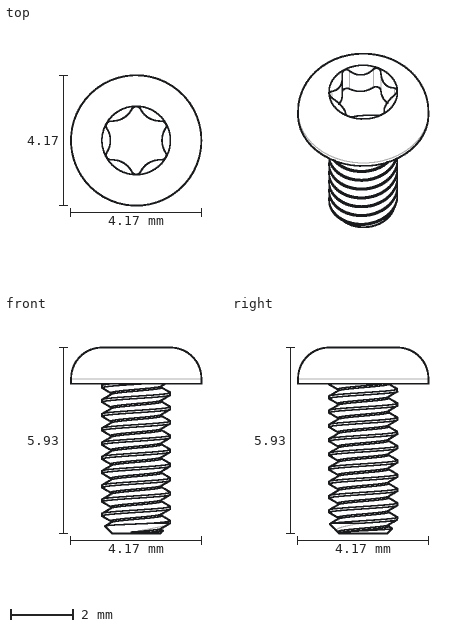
import cadquery as cq
import math

INCH = 25.4
overall_length = 5.931

head_radius = 0.164 * INCH / 2
head_height = 1.164
head_band_height = 0.17

shank_length = overall_length - head_height
thread_radius = 0.086 * INCH / 2
thread_pitch = INCH / 56
thread_depth = 17 / 24 * math.sqrt(3) / 2 * thread_pitch
flank_angle = math.radians(30)
root_width = thread_pitch / 8
end_radius = 0.77
groove_overrun = 0.03
thread_phase = 247

rim_radius = thread_radius
lobe_count = 6
lobe_radius = 1.08
scallop_inner_radius = 0.822
scallop_radius = 0.70
countersink_slope = math.radians(30)
recess_depth = 0.975
floor_dish_depth = 0.56
floor_centre_slope = math.radians(32)
floor_shoulder = (0.82, 0.025)


def head():
    """Button head: short cylindrical band under a rounded dome that ends at the recess rim."""
    rise = head_height - head_band_height
    run = head_radius - rim_radius
    dome_radius = (rise ** 2 + run ** 2) / (2 * run)
    half_angle = math.atan2(run, rise)
    dome_middle = (
        head_radius - dome_radius * (1 - math.cos(half_angle)),
        head_band_height + dome_radius * math.sin(half_angle),
    )
    return (
        cq.Workplane("XZ")
        .lineTo(head_radius, 0)
        .lineTo(head_radius, head_band_height)
        .threePointArc(dome_middle, (rim_radius, head_height))
        .lineTo(0, head_height)
        .close()
        .revolve(360, (0, 0, 0), (0, 1, 0))
    )


def thread_groove():
    """Solid helical groove of trapezoidal section that runs past both ends and outside of the shank."""
    root_radius = thread_radius - thread_depth
    mouth_radius = thread_radius + groove_overrun
    root_half = root_width / 2
    mouth_half = root_half + (mouth_radius - root_radius) * math.tan(flank_angle)
    section = [
        (root_radius, -root_half),
        (mouth_radius, -mouth_half),
        (mouth_radius, mouth_half),
        (root_radius, root_half),
    ]
    start = -shank_length - thread_pitch
    length = shank_length + 2 * thread_pitch

    helices = [
        cq.Wire.makeHelix(thread_pitch, length, radius, cq.Vector(0, 0, start + height))
        for radius, height in section
    ]
    faces = [cq.Face.makeRuledSurface(helices[i - 1], helices[i]) for i in range(len(helices))]
    for corners in (
        [helix.startPoint() for helix in helices],
        [helix.endPoint() for helix in helices],
    ):
        faces.append(cq.Face.makeFromWires(cq.Wire.makePolygon(corners, close=True)))
    return cq.Workplane(cq.Solid.makeSolid(cq.Shell.makeShell(faces)))


def threaded_shank():
    """Cylinder at the crest radius with a 45 degree chamfer at the free end, cut by the thread groove."""
    blank = (
        cq.Workplane("XY")
        .circle(thread_radius)
        .extrude(-shank_length)
        .faces("<Z")
        .chamfer(thread_radius - end_radius)
    )
    return blank.cut(thread_groove()).rotate((0, 0, 0), (0, 0, 1), thread_phase)


def polar(radius, angle):
    """Cartesian point at the given radius and angle."""
    return (radius * math.cos(angle), radius * math.sin(angle))


def lobe_outline():
    """Closed six-lobe outline of tangent arcs, lobe tips at 30 degrees and every 60 degrees on."""
    half_step = math.pi / lobe_count
    scallop_centre = scallop_inner_radius + scallop_radius
    reach = scallop_radius + lobe_radius
    tip_centre = (reach ** 2 - scallop_centre ** 2) / (2 * (reach - scallop_centre * math.cos(half_step)))
    tip_radius = lobe_radius - tip_centre
    to_scallop = math.atan2(
        scallop_centre * math.sin(half_step),
        scallop_centre * math.cos(half_step) - tip_centre,
    )
    along = tip_centre + tip_radius * math.cos(to_scallop)
    across = tip_radius * math.sin(to_scallop)
    tangent_radius = math.hypot(along, across)
    tangent_angle = math.atan2(across, along)

    outline = cq.Workplane("XY").moveTo(*polar(tangent_radius, half_step - tangent_angle))
    for lobe in range(lobe_count):
        axis = half_step * (2 * lobe + 1)
        next_axis = axis + 2 * half_step
        outline = outline.threePointArc(
            polar(lobe_radius, axis), polar(tangent_radius, axis + tangent_angle)
        ).threePointArc(
            polar(scallop_inner_radius, axis + half_step),
            polar(tangent_radius, next_axis - tangent_angle),
        )
    return outline.close()


def recess():
    """Six-lobe socket with a smoothly dished floor and a conical countersink at its mouth."""
    floor_edge = head_height - recess_depth
    shoulder_radius, shoulder_drop = floor_shoulder
    envelope = (
        cq.Workplane("XZ")
        .moveTo(0, floor_edge - floor_dish_depth)
        .spline(
            [(shoulder_radius, floor_edge - shoulder_drop), (rim_radius, floor_edge)],
            tangents=[(math.cos(floor_centre_slope), math.sin(floor_centre_slope)), (1, 0)],
            includeCurrent=True,
        )
        .lineTo(rim_radius, head_height)
        .lineTo(0, head_height)
        .close()
        .revolve(360, (0, 0, 0), (0, 1, 0))
    )
    socket = lobe_outline().extrude(head_height + shank_length).translate((0, 0, -shank_length))
    countersink = (
        cq.Workplane("XZ")
        .moveTo(0, head_height)
        .lineTo(rim_radius, head_height)
        .lineTo(0, head_height - rim_radius * math.tan(countersink_slope))
        .close()
        .revolve(360, (0, 0, 0), (0, 1, 0))
    )
    return socket.intersect(envelope).union(countersink)


result = threaded_shank().union(head()).cut(recess())